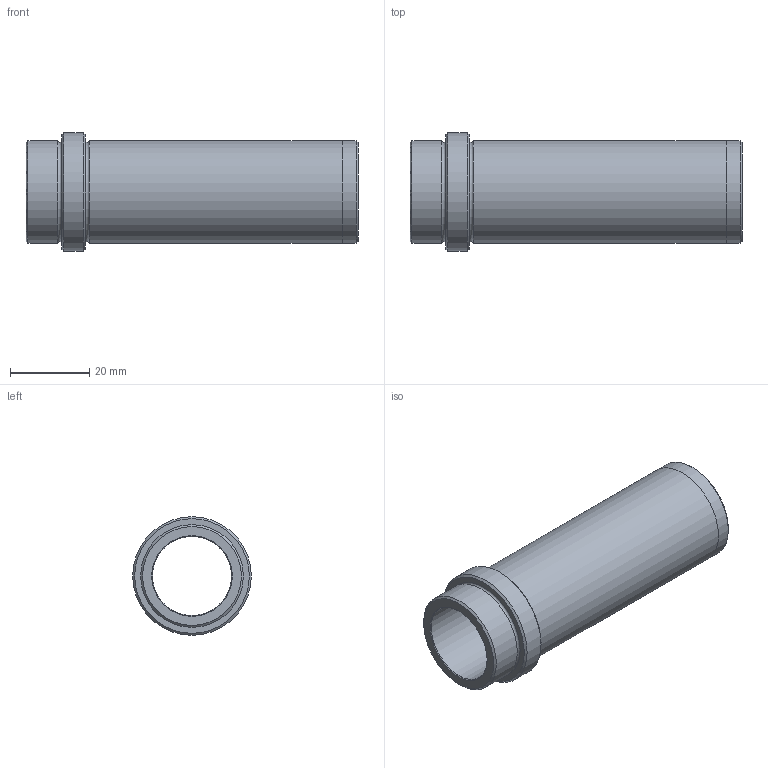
import cadquery as cq

LENGTH = 84.0
BORE_RADIUS = 10.0
BODY_RADIUS = 13.0
COLLAR_RADIUS = 15.0
COLLAR_START = 9.0
COLLAR_WIDTH = 6.0
EDGE_CHAMFER = 0.5
BORE_CHAMFER = 0.2
RELIEF_RADIUS = 0.5
LEAD_LENGTH = 4.0

COLLAR_END = COLLAR_START + COLLAR_WIDTH
RELIEF_WIDTH = 2 * RELIEF_RADIUS
RELIEF_BOTTOM_RADIUS = BODY_RADIUS - RELIEF_RADIUS
LEAD_START = LENGTH - LEAD_LENGTH


def bushing_profile():
    """Half section of the bushing: X is the axis and Y the radius."""
    return (
        cq.Workplane("XY")
        .moveTo(BORE_CHAMFER, BORE_RADIUS)
        .lineTo(0, BORE_RADIUS + BORE_CHAMFER)
        .lineTo(0, BODY_RADIUS - EDGE_CHAMFER)
        .lineTo(EDGE_CHAMFER, BODY_RADIUS)
        .lineTo(COLLAR_START - RELIEF_WIDTH, BODY_RADIUS)
        .threePointArc(
            (COLLAR_START - RELIEF_RADIUS, RELIEF_BOTTOM_RADIUS),
            (COLLAR_START, BODY_RADIUS),
        )
        .lineTo(COLLAR_START, COLLAR_RADIUS - EDGE_CHAMFER)
        .lineTo(COLLAR_START + EDGE_CHAMFER, COLLAR_RADIUS)
        .lineTo(COLLAR_END - EDGE_CHAMFER, COLLAR_RADIUS)
        .lineTo(COLLAR_END, COLLAR_RADIUS - EDGE_CHAMFER)
        .lineTo(COLLAR_END, BODY_RADIUS)
        .threePointArc(
            (COLLAR_END + RELIEF_RADIUS, RELIEF_BOTTOM_RADIUS),
            (COLLAR_END + RELIEF_WIDTH, BODY_RADIUS),
        )
        .lineTo(LEAD_START, BODY_RADIUS)
        .lineTo(LENGTH - EDGE_CHAMFER, BODY_RADIUS)
        .lineTo(LENGTH, BODY_RADIUS - EDGE_CHAMFER)
        .lineTo(LENGTH, BORE_RADIUS + BORE_CHAMFER)
        .lineTo(LENGTH - BORE_CHAMFER, BORE_RADIUS)
        .close()
    )


result = bushing_profile().revolve(360, (0, 0, 0), (1, 0, 0), clean=False)